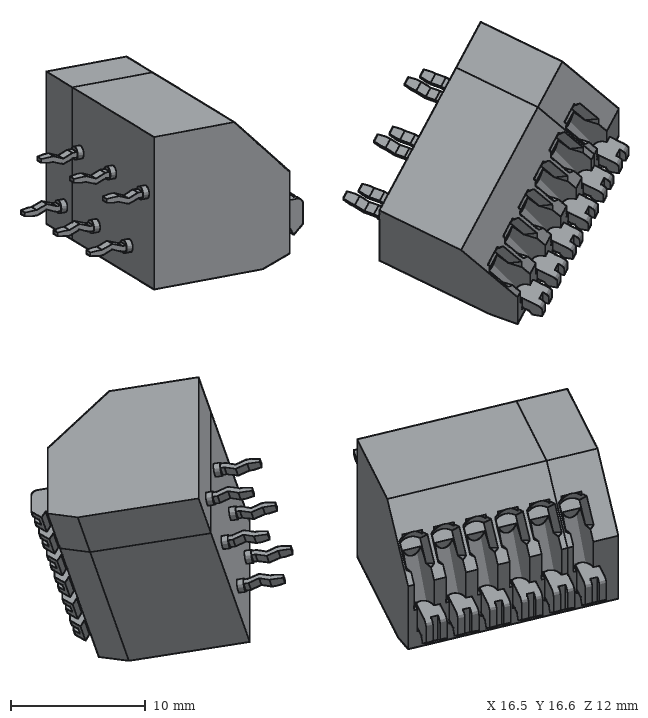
import cadquery as cq
import math

POLE_COUNT = 6
PITCH = 2.5
END_WALL = 1.5
END_MODULE_WIDTH = END_WALL + PITCH
MAIN_MODULE_WIDTH = (POLE_COUNT - 1) * PITCH
FIRST_POLE_X = END_WALL + PITCH / 2

DEPTH = 11.5
HEIGHT = 12.0
SLOPE_RUN = 4.7
SLOPE_START_Z = 7.3
SLOPE_ANGLE = math.degrees(math.atan2(HEIGHT - SLOPE_START_Z, SLOPE_RUN))
BOTTOM_BEVEL_RUN = 2.3
BOTTOM_BEVEL_RISE = 0.85

LEVER_WIDTH = 1.65
LEVER_OFFSET_X = -PITCH / 2
LEVER_REACH = 1.6
LEVER_TOP_Z = 4.7
LEVER_BOTTOM_Z = 2.45
LEVER_LIP_Z = 2.65
LEVER_CORNER_RADIUS = 0.5
HOOK_TIP_REACH = 0.8
HOOK_TIP_Z = 1.9
HOOK_ROOT_REACH = 0.5
NOTCH_WIDTH = 0.55
NOTCH_DEPTH = LEVER_CORNER_RADIUS
LEVER_GAP = 0.13
LEVER_GAP_DEPTH = 0.8

BORE_RADIUS = 0.78
BORE_TILT = 34.0
BORE_LENGTH = 12.0
BORE_FLOOR_REACH = 0.78
FUNNEL_RADIUS = 1.55
FUNNEL_WIDTH = 2.2
FUNNEL_CENTRE_Y = DEPTH - 1.63
FUNNEL_DEPTH = 1.2
FUNNEL_TAPER = 15.0

ROW_LOW_Z = 2.3
ROW_SPACING = 5.0
COLLAR_RADIUS = 0.5
COLLAR_LENGTH = 0.5
PIN_REACH = 3.5
STRIP_WIDTH = 0.8
STRIP_THICKNESS = 0.43
BEND_START = 0.85
BEND_PEAK = 1.68
BEND_END = 2 * BEND_PEAK - BEND_START
BEND_RISE = 0.32
BEND_ANGLE = math.atan2(BEND_RISE, BEND_PEAK - BEND_START)
BEND_MITRE = STRIP_THICKNESS / 2 * math.tan(BEND_ANGLE / 2)
TIP_START = 2.87
TIP_WIDTH = 0.62
TIP_THICKNESS = 0.3


def yz_extrusion(outline, x_start, width):
    return cq.Workplane("YZ", origin=(x_start, 0, 0)).polyline(outline).close().extrude(width)


def housing_block(x_start, width):
    outline = [
        (0, 0),
        (DEPTH - BOTTOM_BEVEL_RUN, 0),
        (DEPTH, BOTTOM_BEVEL_RISE),
        (DEPTH, SLOPE_START_Z),
        (DEPTH - SLOPE_RUN, HEIGHT),
        (0, HEIGHT),
    ]
    return yz_extrusion(outline, x_start, width)


def wire_bore(pole_x):
    """Steep round-bottomed groove, open at the back face, with a flat floor at the lever top."""
    round_bottom = cq.Workplane("XY").circle(BORE_RADIUS).extrude(BORE_LENGTH)
    open_side = cq.Workplane("XY").box(
        2 * BORE_RADIUS, BORE_LENGTH, BORE_LENGTH, centered=(True, False, False)
    )
    axis_y = DEPTH - BORE_FLOOR_REACH + BORE_RADIUS / math.cos(math.radians(BORE_TILT))
    groove = (
        round_bottom.union(open_side)
        .translate((0, 0, -BORE_LENGTH / 2))
        .rotate((0, 0, 0), (1, 0, 0), BORE_TILT)
        .translate((pole_x, axis_y, LEVER_TOP_Z))
    )
    start_y = FUNNEL_CENTRE_Y - FUNNEL_RADIUS * math.cos(math.radians(SLOPE_ANGLE))
    limits = cq.Workplane("XY", origin=(pole_x, start_y, LEVER_TOP_Z)).box(
        PITCH, DEPTH, HEIGHT, centered=(True, False, False)
    )
    return groove.intersect(limits)


def wire_funnel(pole_x):
    """Tapered recess normal to the sloped face: a circle with two flat sides."""
    half_width = FUNNEL_WIDTH / 2
    flat_end = math.sqrt(FUNNEL_RADIUS**2 - half_width**2)
    funnel = (
        cq.Workplane("XY")
        .moveTo(half_width, -flat_end)
        .lineTo(half_width, flat_end)
        .threePointArc((0, FUNNEL_RADIUS), (-half_width, flat_end))
        .lineTo(-half_width, -flat_end)
        .threePointArc((0, -FUNNEL_RADIUS), (half_width, -flat_end))
        .close()
        .extrude(-FUNNEL_DEPTH, taper=FUNNEL_TAPER)
    )
    centre_z = SLOPE_START_Z + (DEPTH - FUNNEL_CENTRE_Y) * math.tan(math.radians(SLOPE_ANGLE))
    return funnel.rotate((0, 0, 0), (1, 0, 0), -SLOPE_ANGLE).translate((pole_x, FUNNEL_CENTRE_Y, centre_z))


def lever_gap(pole_x):
    """Narrow slot in the back face along the free side of the lever."""
    return cq.Workplane("XY").box(
        LEVER_GAP, LEVER_GAP_DEPTH, LEVER_TOP_Z - LEVER_BOTTOM_Z, centered=False
    ).translate((pole_x + LEVER_OFFSET_X + LEVER_WIDTH, DEPTH - LEVER_GAP_DEPTH, LEVER_BOTTOM_Z))


def lever(pole_x):
    """Hooked release lever with a notch in its outer end."""
    left = pole_x + LEVER_OFFSET_X
    outer_y = DEPTH + LEVER_REACH
    outline = [
        (DEPTH, LEVER_BOTTOM_Z),
        (DEPTH + HOOK_ROOT_REACH, LEVER_BOTTOM_Z),
        (DEPTH + HOOK_TIP_REACH, HOOK_TIP_Z),
        (outer_y, LEVER_LIP_Z),
        (outer_y, LEVER_TOP_Z),
        (DEPTH, LEVER_TOP_Z),
    ]
    body = yz_extrusion(outline, left, LEVER_WIDTH)
    body = body.edges(">Y and >Z").fillet(LEVER_CORNER_RADIUS)
    notch = cq.Workplane("XY", origin=(left + LEVER_WIDTH / 2, outer_y, 0)).box(
        NOTCH_WIDTH, 2 * NOTCH_DEPTH, HEIGHT, centered=(True, True, False)
    )
    return body.cut(notch)


def housing(x_start, width, pole_positions):
    body = housing_block(x_start, width)
    for pole_x in pole_positions:
        body = body.cut(wire_bore(pole_x)).cut(wire_funnel(pole_x)).cut(lever_gap(pole_x))
        body = body.union(lever(pole_x))
    return body


def contact_pin(pole_x, row_z, bend_direction):
    """Round collar carrying a flat strip with one bend and a tapered tip."""
    collar = cq.Workplane("XZ").circle(COLLAR_RADIUS).extrude(COLLAR_LENGTH)

    half = STRIP_THICKNESS / 2
    peak = bend_direction * BEND_RISE
    mitre = bend_direction * BEND_MITRE
    strip_outline = [
        (-COLLAR_LENGTH, -half),
        (-BEND_START - mitre, -half),
        (-BEND_PEAK, peak - half),
        (-BEND_END + mitre, -half),
        (-TIP_START, -half),
        (-TIP_START, half),
        (-BEND_END - mitre, half),
        (-BEND_PEAK, peak + half),
        (-BEND_START + mitre, half),
        (-COLLAR_LENGTH, half),
    ]
    strip = yz_extrusion(strip_outline, -STRIP_WIDTH / 2, STRIP_WIDTH)

    tip = (
        cq.Workplane("XZ", origin=(0, -TIP_START, 0))
        .rect(STRIP_WIDTH, STRIP_THICKNESS)
        .workplane(offset=PIN_REACH - TIP_START)
        .rect(TIP_WIDTH, TIP_THICKNESS)
        .loft()
    )
    return collar.union(strip).union(tip).translate((pole_x, 0, row_z))


pole_positions = [FIRST_POLE_X + i * PITCH for i in range(POLE_COUNT)]

end_module = housing(0, END_MODULE_WIDTH, pole_positions[:1])
main_module = housing(END_MODULE_WIDTH, MAIN_MODULE_WIDTH, pole_positions[1:])

pins = []
for index, pole_x in enumerate(pole_positions):
    in_upper_row = index % 2
    row_z = ROW_LOW_Z + in_upper_row * ROW_SPACING
    bend_direction = -1 if in_upper_row else 1
    pins.append(contact_pin(pole_x, row_z, bend_direction))

result = cq.Compound.makeCompound(
    [end_module.val(), main_module.val(), *[pin.val() for pin in pins]]
)